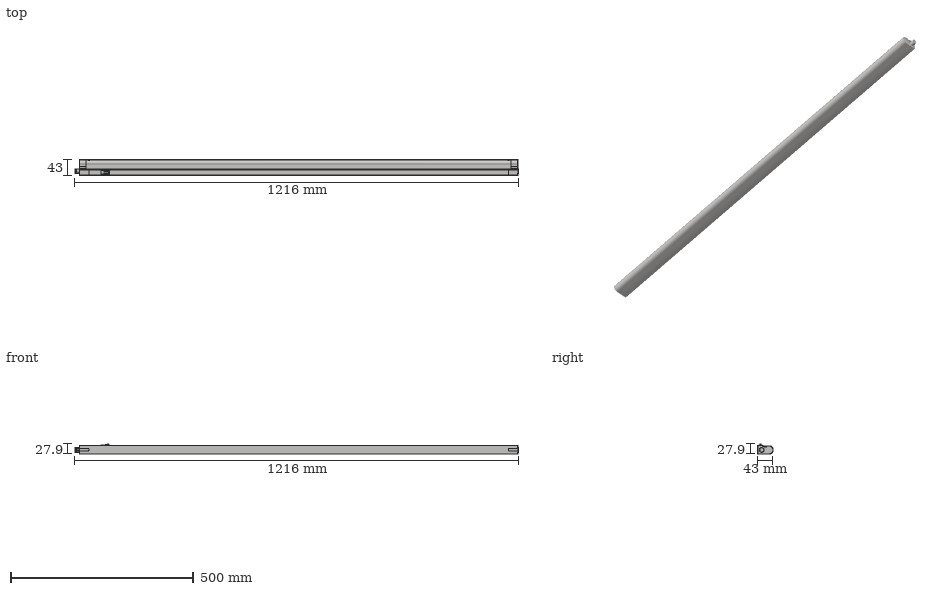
import cadquery as cq

TOTAL_LENGTH = 1216.0
TOTAL_WIDTH = 43.0
TOTAL_HEIGHT = 27.88

BODY_HEIGHT = 24.0
LAMP_HEIGHT = 22.8
LAMP_RADIUS = LAMP_HEIGHT / 2
LAMP_AXIS_Y = TOTAL_WIDTH - LAMP_RADIUS
PLUG_LENGTH = 12.0
SOCKET_LENGTH = 2.0
BODY_X_MIN = -TOTAL_LENGTH / 2 + PLUG_LENGTH
BODY_X_MAX = TOTAL_LENGTH / 2 - SOCKET_LENGTH

HOUSING_WIDTH = 15.0
GROOVE_WIDTH = 2.5
GROOVE_DEPTH = 3.0
LAMP_Y_MIN = HOUSING_WIDTH + GROOVE_WIDTH

SEAM_STEP = 0.2
HOUSING_CAP_LENGTH = 26.0
LAMP_CAP_LENGTH = 18.5

SLOT_HEIGHT = 7.0
SLOT_DEPTH = 1.0
SLOT_CORNER_RADIUS = 2.5

NOTCH_Y_MIN = 19.2
NOTCH_WIDTH = 4.8
NOTCH_DEPTH = 3.5

PIN_HOLE_DIAMETER = 2.0
PIN_HOLE_DEPTH = 2.0
PIN_HOLE_INSET = HOUSING_CAP_LENGTH
PIN_HOLE_SIDE_INSET = 1.4
PIN_HOLE_Y = TOTAL_WIDTH - PIN_HOLE_SIDE_INSET

CONNECTOR_DIAMETER = 12.7
CONNECTOR_Y = 11.35
CONNECTOR_Z = 11.3
PLUG_BORE_DIAMETER = 8.0
PLUG_BORE_DEPTH = 4.0
KEYWAY_WIDTH = 4.0
KEYWAY_DEPTH = 1.2

SWITCH_X = -525.5
SWITCH_Y = 8.2
BEZEL_LENGTH = 23.0
BEZEL_WIDTH = 9.0
BEZEL_HEIGHT = 0.8
ROCKER_X = -522.5
ROCKER_LENGTH = 12.0
ROCKER_WIDTH = 4.0


def block(x_min, x_max, y_min, y_max, z_min, z_max):
    """Box given by its limits along each axis."""
    size = (x_max - x_min, y_max - y_min, z_max - z_min)
    return cq.Workplane("XY").box(*size, centered=False).translate((x_min, y_min, z_min))


def lamp_section(x_start, length, inset):
    """Length of half-round lamp, shrunk by inset on its top, bottom and round side."""
    radius = LAMP_RADIUS - inset
    return (
        cq.Workplane("YZ", origin=(x_start, 0, LAMP_RADIUS))
        .moveTo(LAMP_Y_MIN, -radius)
        .lineTo(LAMP_AXIS_Y, -radius)
        .threePointArc((LAMP_AXIS_Y + radius, 0), (LAMP_AXIS_Y, radius))
        .lineTo(LAMP_Y_MIN, radius)
        .close()
        .extrude(length)
    )


def make_body():
    """Ballast housing, lamp and the web below the groove between them."""
    housing = block(BODY_X_MIN, BODY_X_MAX, 0, HOUSING_WIDTH, 0, BODY_HEIGHT)
    web = block(BODY_X_MIN, BODY_X_MAX, HOUSING_WIDTH, LAMP_Y_MIN, 0, BODY_HEIGHT - GROOVE_DEPTH)
    lamp = lamp_section(BODY_X_MIN, BODY_X_MAX - BODY_X_MIN, 0)
    return housing.union(web).union(lamp)


def end_span(side, length):
    """X limits of a stretch of the given length at the -X (-1) or +X (+1) end."""
    if side < 0:
        return BODY_X_MIN, BODY_X_MIN + length
    return BODY_X_MAX - length, BODY_X_MAX


def cut_end(body, side):
    """Cap seams, front slot, notch and small hole at one end of the body."""
    x_min, x_max = end_span(side, LAMP_CAP_LENGTH)
    around_lamp = block(x_min, x_max, LAMP_Y_MIN, TOTAL_WIDTH, 0, LAMP_HEIGHT)
    body = body.cut(around_lamp.cut(lamp_section(x_min, LAMP_CAP_LENGTH, SEAM_STEP)))
    notch_y_max = NOTCH_Y_MIN + NOTCH_WIDTH
    notch_floor = LAMP_HEIGHT - NOTCH_DEPTH
    body = body.cut(block(x_min, x_max, NOTCH_Y_MIN, notch_y_max, notch_floor, LAMP_HEIGHT))

    x_min, x_max = end_span(side, HOUSING_CAP_LENGTH)
    body = body.cut(block(x_min, x_max, 0, HOUSING_WIDTH, BODY_HEIGHT - SEAM_STEP, BODY_HEIGHT))
    slot_z_min = (BODY_HEIGHT - SLOT_HEIGHT) / 2
    slot = block(x_min, x_max, 0, SLOT_DEPTH, slot_z_min, slot_z_min + SLOT_HEIGHT)
    inner_corners = ">X and |Y" if side < 0 else "<X and |Y"
    body = body.cut(slot.edges(inner_corners).fillet(SLOT_CORNER_RADIUS))

    hole_x = BODY_X_MIN + PIN_HOLE_INSET if side < 0 else BODY_X_MAX - PIN_HOLE_INSET
    surface_rise = (LAMP_RADIUS**2 - (PIN_HOLE_Y - LAMP_AXIS_Y) ** 2) ** 0.5
    hole_floor = LAMP_RADIUS + surface_rise - PIN_HOLE_DEPTH
    hole = (
        cq.Workplane("XY", origin=(hole_x, PIN_HOLE_Y, hole_floor))
        .circle(PIN_HOLE_DIAMETER / 2)
        .extrude(LAMP_HEIGHT - hole_floor)
    )
    return body.cut(hole)


def make_connector(x_start, length):
    """Round connector along X with a keyway in its front side."""
    radius = CONNECTOR_DIAMETER / 2
    barrel = (
        cq.Workplane("YZ", origin=(x_start, CONNECTOR_Y, CONNECTOR_Z))
        .circle(radius)
        .extrude(length)
    )
    front_y = CONNECTOR_Y - radius
    half_key = KEYWAY_WIDTH / 2
    keyway = block(
        x_start,
        x_start + length,
        front_y,
        front_y + KEYWAY_DEPTH,
        CONNECTOR_Z - half_key,
        CONNECTOR_Z + half_key,
    )
    return barrel.cut(keyway)


def make_plug():
    """Plug with a blind bore in its outer face."""
    x_start = -TOTAL_LENGTH / 2
    bore = (
        cq.Workplane("YZ", origin=(x_start, CONNECTOR_Y, CONNECTOR_Z))
        .circle(PLUG_BORE_DIAMETER / 2)
        .extrude(PLUG_BORE_DEPTH)
    )
    return make_connector(x_start, PLUG_LENGTH).cut(bore)


def make_switch():
    """Rocker switch: a low bezel with a wedge that rises toward +X."""
    bezel_top = BODY_HEIGHT + BEZEL_HEIGHT
    bezel = block(
        SWITCH_X - BEZEL_LENGTH / 2,
        SWITCH_X + BEZEL_LENGTH / 2,
        SWITCH_Y - BEZEL_WIDTH / 2,
        SWITCH_Y + BEZEL_WIDTH / 2,
        BODY_HEIGHT,
        bezel_top,
    )
    half_rocker = ROCKER_LENGTH / 2
    rocker = (
        cq.Workplane("XZ", origin=(ROCKER_X, SWITCH_Y + ROCKER_WIDTH / 2, 0))
        .moveTo(-half_rocker, bezel_top)
        .lineTo(half_rocker, bezel_top)
        .lineTo(half_rocker, TOTAL_HEIGHT)
        .close()
        .extrude(ROCKER_WIDTH)
    )
    return bezel.union(rocker)


result = make_body()
for end in (-1, 1):
    result = cut_end(result, end)
result = result.union(make_plug())
result = result.union(make_connector(BODY_X_MAX, SOCKET_LENGTH))
result = result.union(make_switch())